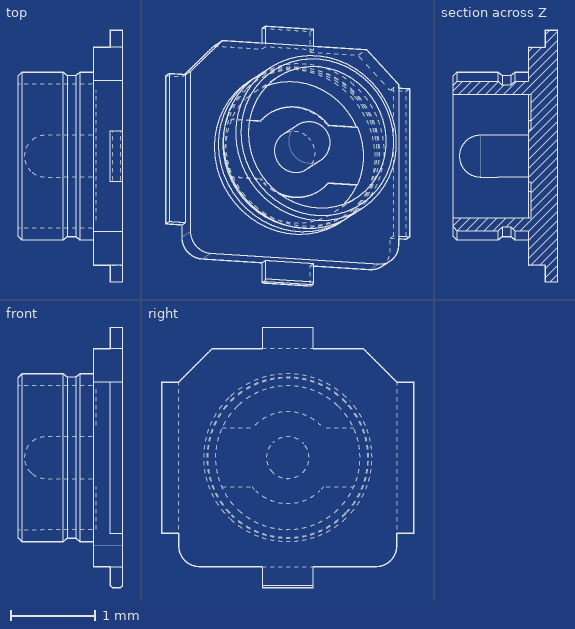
import cadquery as cq

TOTAL_DEPTH = 1.25
TOTAL_WIDTH = 3.0
TOTAL_HEIGHT = 3.1

PLATE_SIZE = 2.598
PLATE_THICKNESS = 0.35
TOP_CHAMFER = 0.4
BOTTOM_RADIUS = 0.25
PLATE_FRONT = TOTAL_DEPTH - PLATE_THICKNESS

TAB_THICKNESS = 0.15
SIDE_TAB_HEIGHT = 1.8
END_TAB_WIDTH = 0.6
BOTTOM_TAB_CHAMFER = 0.028

BARREL_RADIUS = 1.0
BORE_RADIUS = 0.86
BEVEL = 0.05
GROOVE_START = 0.54
GROOVE_END = 0.74
GROOVE_DEPTH = 0.04

POCKET_DEPTH = 0.03
POCKET_FLOOR = PLATE_FRONT + POCKET_DEPTH
BRIDGE_HEIGHT = 0.7
BRIDGE_ROUND_RADIUS = 0.55

PIN_RADIUS = 0.25
PIN_TIP_DEPTH = 0.08


def x_cylinder(radius, start, end):
    return cq.Workplane("YZ", origin=(start, 0, 0)).circle(radius).extrude(end - start)


def back_tab(width, height):
    """Bar centred on the axis and flush with the back of the plate."""
    start = TOTAL_DEPTH - TAB_THICKNESS
    return cq.Workplane("YZ", origin=(start, 0, 0)).rect(width, height).extrude(TAB_THICKNESS)


def make_plate():
    plate = cq.Workplane("YZ", origin=(PLATE_FRONT, 0, 0)).rect(PLATE_SIZE, PLATE_SIZE)
    plate = plate.extrude(PLATE_THICKNESS)
    plate = plate.faces(">Z").edges("|X").chamfer(TOP_CHAMFER)
    return plate.faces("<Z").edges("|X").fillet(BOTTOM_RADIUS)


def make_tabs():
    side_tabs = back_tab(TOTAL_WIDTH, SIDE_TAB_HEIGHT)
    end_tabs = back_tab(END_TAB_WIDTH, TOTAL_HEIGHT)
    end_tabs = end_tabs.faces("<Z").edges("|Y").chamfer(BOTTOM_TAB_CHAMFER)
    return side_tabs.union(end_tabs)


def make_barrel():
    """Outer barrel turned from its half profile, drawn as (X, radius)."""
    rim_radius = BARREL_RADIUS - BEVEL
    neck_radius = BARREL_RADIUS - GROOVE_DEPTH
    profile = [
        (0, 0),
        (0, rim_radius),
        (BEVEL, BARREL_RADIUS),
        (GROOVE_START, BARREL_RADIUS),
        (GROOVE_START + BEVEL, neck_radius),
        (GROOVE_END - BEVEL, neck_radius),
        (GROOVE_END, BARREL_RADIUS),
        (PLATE_FRONT, BARREL_RADIUS),
        (PLATE_FRONT, 0),
    ]
    return cq.Workplane("XY").polyline(profile).close().revolve(360, (0, 0, 0), (1, 0, 0))


def make_bore():
    """Open bore, deepened above and below the bridge that carries the pin."""
    bridge = cq.Workplane("YZ", origin=(PLATE_FRONT, 0, 0))
    bridge = bridge.rect(2 * BORE_RADIUS, BRIDGE_HEIGHT).extrude(POCKET_FLOOR - PLATE_FRONT)
    bridge = bridge.union(x_cylinder(BRIDGE_ROUND_RADIUS, PLATE_FRONT, POCKET_FLOOR))
    return x_cylinder(BORE_RADIUS, 0, POCKET_FLOOR).cut(bridge)


def make_pin():
    tip_center = PIN_TIP_DEPTH + PIN_RADIUS
    tip = cq.Workplane("XY", origin=(tip_center, 0, 0)).sphere(PIN_RADIUS)
    return x_cylinder(PIN_RADIUS, tip_center, PLATE_FRONT).union(tip)


body = make_plate().union(make_tabs()).union(make_barrel())
result = body.cut(make_bore()).union(make_pin())